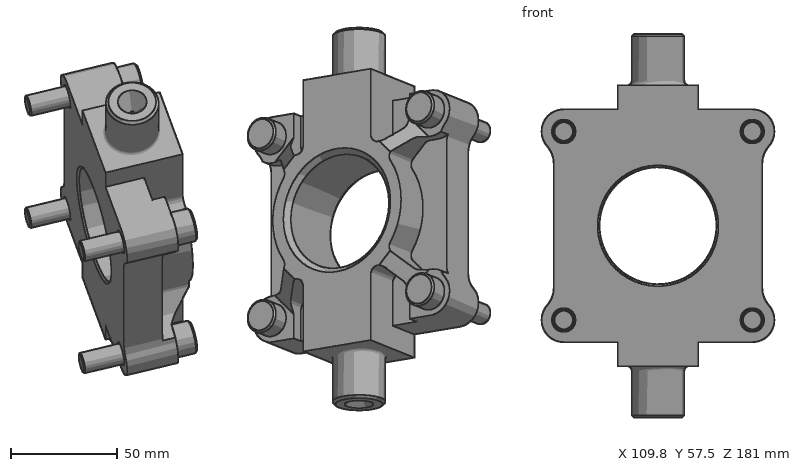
import cadquery as cq
import math

block_depth = 38.0
pocket_floor = block_depth / 2
pad_height = 25.2

screw_pitch = 88.9
plate_height = 109.8
waist_width = 98.5
waist_fillet = 12.1

block_width = 38.0
block_height = 132.5
ring_diameter = 72.0
bore_diameter = 55.0
front_chamfer = 1.0
rear_chamfer = 2.5

rib_width = 8.0
pad_radius = 12.0
pocket_fillet = 4.0
slope_start = 38.2
slope_angle = 40.0

trunnion_span = 181.0
trunnion_axis = 18.8
trunnion_diameter = 25.0
trunnion_fillet = 2.0
trunnion_chamfer = 1.3
center_hole_diameter = 13.5
center_hole_angle = 70.0
pilot_diameter = 1.6
pilot_depth = 1.6

screw_diameter = 10.0
clearance_diameter = 11.2
screw_protrusion = 19.5
head_diameter = 16.0
head_height = 9.8
head_gap = 0.5
head_chamfer = 0.9
tip_chamfer = 0.63

half_pitch = screw_pitch / 2
half_height = plate_height / 2
half_waist = waist_width / 2
corner_radius = half_height - half_pitch
head_seat = pad_height + head_gap
pad_inner_edge = half_pitch - pad_radius
rib_offset = rib_width / math.sqrt(2)
pocket_depth = block_depth - pocket_floor
screw_centers = [(sx * half_pitch, sz * half_pitch) for sx in (-1, 1) for sz in (-1, 1)]


def front_plane(y):
    """Sketch plane at depth y: local x is X and local y is Z."""
    return cq.Workplane(cq.Plane(origin=(0, y, 0), xDir=(1, 0, 0), normal=(0, -1, 0)))


def extrude_back(sketch, depth):
    """Extrude a sketch of a front plane towards +Y."""
    return sketch.extrude(-depth)


def all_quadrants(quarter):
    """Repeat a shape of the +X +Z quadrant in all four quadrants."""
    half = quarter.union(quarter.mirror("YZ"))
    return half.union(half.mirror("XY"))


def make_plate():
    """Full-depth plate with round corner lobes blended into its flat sides."""
    center_distance = corner_radius + waist_fillet
    blend_x = half_waist + waist_fillet
    blend_z = half_pitch - math.sqrt(center_distance**2 - (blend_x - half_pitch) ** 2)
    blend_angle = math.atan2(half_pitch - blend_z, blend_x - half_pitch)

    def on_blend(angle):
        return (blend_x - waist_fillet * math.cos(angle), blend_z + waist_fillet * math.sin(angle))

    quarter = (
        front_plane(0)
        .lineTo(half_waist, 0)
        .lineTo(*on_blend(0))
        .threePointArc(on_blend(blend_angle / 2), on_blend(blend_angle))
        .threePointArc((half_height, half_pitch), (half_pitch, half_height))
        .lineTo(0, half_height)
        .close()
    )
    return all_quadrants(extrude_back(quarter, block_depth))


def make_end_pocket():
    """Pocket between the central block, a rib and a screw pad, open towards +Z."""
    outline = front_plane(pocket_floor).polyline([
        (block_width / 2, block_width / 2 + rib_offset),
        (pad_inner_edge, pad_inner_edge + rib_offset),
        (pad_inner_edge, plate_height),
        (block_width / 2, plate_height),
    ]).close()
    pocket = extrude_back(outline, pocket_depth)
    return pocket.edges("|Y and (not >Z)").fillet(pocket_fillet)


def make_side_pocket():
    """Pocket between two ribs and the bearing ring, open towards +X."""
    outline = front_plane(pocket_floor).polyline([
        (rib_offset, 0),
        (pad_inner_edge + rib_offset, pad_inner_edge),
        (plate_height, pad_inner_edge),
        (plate_height, -pad_inner_edge),
        (pad_inner_edge + rib_offset, -pad_inner_edge),
    ]).close()
    ring = extrude_back(front_plane(pocket_floor).circle(ring_diameter / 2), pocket_depth)
    pocket = extrude_back(outline, pocket_depth).cut(ring)
    return pocket.edges("|Y and (not >X)").fillet(pocket_fillet)


def make_pad_rounding():
    """Corner cut off between a pad wall and the pad circle about the screw."""
    square = front_plane(pocket_floor).center(half_pitch, pad_inner_edge)
    square = extrude_back(square.rect(pad_radius, pad_radius, centered=False), pocket_depth)
    disc = front_plane(pocket_floor).center(half_pitch, half_pitch).circle(pad_radius)
    return square.cut(extrude_back(disc, pocket_depth))


def make_slope_cutter():
    """Space behind a screw pad and the inclined end of its rib."""
    slope_end = slope_start + (block_depth - pad_height) / math.tan(math.radians(slope_angle))
    diagonal_plane = cq.Plane(origin=(0, 0, 0), xDir=(1, 0, 1), normal=(-1, 0, 1))
    outline = cq.Workplane(diagonal_plane).polyline([
        (slope_start, block_depth),
        (slope_end, pad_height),
        (plate_height, pad_height),
        (plate_height, block_depth),
    ]).close()
    return outline.extrude(half_height, both=True)


def make_trunnion():
    """Upper trunnion with its root fillet, end chamfer and conical centre hole."""
    radius = trunnion_diameter / 2
    root = block_height / 2
    end = trunnion_span / 2
    hole_radius = center_hole_diameter / 2
    pilot_radius = pilot_diameter / 2
    cone_depth = (hole_radius - pilot_radius) / math.tan(math.radians(center_hole_angle / 2))
    arc_offset = trunnion_fillet * (1 - math.sqrt(0.5))
    profile = (
        cq.Workplane("XZ", origin=(0, trunnion_axis, 0))
        .moveTo(0, 0)
        .lineTo(radius + trunnion_fillet, 0)
        .lineTo(radius + trunnion_fillet, root)
        .threePointArc((radius + arc_offset, root + arc_offset), (radius, root + trunnion_fillet))
        .lineTo(radius, end - trunnion_chamfer)
        .lineTo(radius - trunnion_chamfer, end)
        .lineTo(hole_radius, end)
        .lineTo(pilot_radius, end - cone_depth)
        .lineTo(pilot_radius, end - cone_depth - pilot_depth)
        .lineTo(0, end - cone_depth - pilot_depth)
        .close()
    )
    return profile.revolve(360, (0, 0, 0), (0, 1, 0))


def make_bore():
    """Bore along Y with its front and rear chamfers."""
    radius = bore_diameter / 2
    profile = (
        cq.Workplane("XY")
        .lineTo(radius + front_chamfer, 0)
        .lineTo(radius, front_chamfer)
        .lineTo(radius, block_depth - rear_chamfer)
        .lineTo(radius + rear_chamfer, block_depth)
        .lineTo(0, block_depth)
        .close()
    )
    return profile.revolve(360, (0, 0, 0), (0, 1, 0))


def make_housing():
    """Pocketed plate with the central block, two trunnions, the bore and the screw holes."""
    side_pocket = make_side_pocket()
    body = (
        make_plate()
        .cut(all_quadrants(make_end_pocket()))
        .cut(side_pocket)
        .cut(side_pocket.mirror("YZ"))
        .cut(all_quadrants(make_pad_rounding()))
        .cut(all_quadrants(make_slope_cutter()))
    )
    block = extrude_back(front_plane(0).rect(block_width, block_height), block_depth)
    trunnion = make_trunnion()
    body = body.union(block).union(trunnion).union(trunnion.mirror("XY"))

    screw_holes = front_plane(0).pushPoints(screw_centers).circle(clearance_diameter / 2)
    return body.cut(make_bore()).cut(extrude_back(screw_holes, pad_height))


def make_screw(x, z):
    """Screw with its head just behind a pad and its tip in front of the housing."""
    tip = -screw_protrusion
    shank = extrude_back(front_plane(tip).circle(screw_diameter / 2), head_seat + screw_protrusion)
    shank = shank.faces("<Y").chamfer(tip_chamfer)
    head = extrude_back(front_plane(head_seat).circle(head_diameter / 2), head_height)
    head = head.faces(">Y").chamfer(head_chamfer)
    return shank.union(head).translate((x, 0, z))


housing = make_housing()
screws = [make_screw(x, z) for x, z in screw_centers]
result = cq.Compound.makeCompound([housing.val(), *[screw.val() for screw in screws]])